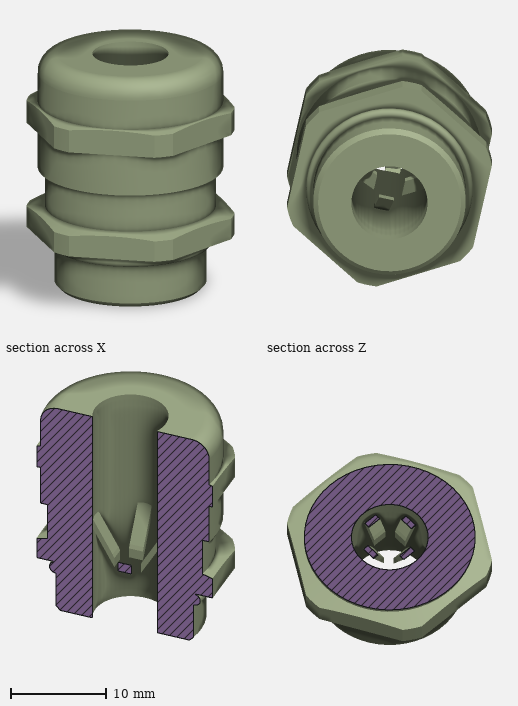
import cadquery as cq
import math

TOTAL_HEIGHT = 25.5
SEAL_RING_BOTTOM = 4.6
BODY_HEX_BOTTOM = 6.0
CAP_BOTTOM = 13.0
CAP_HEX_BOTTOM = 17.5

SPIGOT_RADIUS = 8.0
SPIGOT_CHAMFER_HEIGHT = 0.5
SPIGOT_CHAMFER_WIDTH = 0.5
SEAL_RING_RADIUS = 8.75
BODY_RADIUS = 9.0
CAP_RADIUS = 9.75
CAP_FILLET = 2.0
BORE_RADIUS = 4.0

HEX_SIDES = 6
ACROSS_FLATS = 20.0
COLLAR_CORNER_RADIUS = 11.0
BODY_COLLAR_EDGE_HEIGHT = 2.25
CAP_COLLAR_EDGE_HEIGHT = 2.44
COLLAR_CONE_ANGLE = 15.0

FINGER_COUNT = 4
FINGER_WIDTH = 1.6
FINGER_TIP_RADIUS = 1.5
FINGER_ROOT_TOP = 12.0
FINGER_SLOPE = 60.0
FINGER_THICKNESS = 0.6
FINGER_TIP_STRIP = 0.2
FINGER_STRIP_SLOPE = 65.0
FINGER_WALL_OVERLAP = 1.0


def cylinder(radius, bottom, top):
    return cq.Workplane("XY").workplane(offset=bottom).circle(radius).extrude(top - bottom)


def spigot_with_seal_ring():
    """Chamfered entry spigot with a round-section seal ring under the body collar."""
    ring_section_radius = (BODY_HEX_BOTTOM - SEAL_RING_BOTTOM) / 2
    ring_centre_radius = SEAL_RING_RADIUS - ring_section_radius
    ring_middle = SEAL_RING_BOTTOM + ring_section_radius
    profile = (
        cq.Workplane("XZ")
        .lineTo(SPIGOT_RADIUS - SPIGOT_CHAMFER_WIDTH, 0)
        .lineTo(SPIGOT_RADIUS, SPIGOT_CHAMFER_HEIGHT)
        .lineTo(SPIGOT_RADIUS, SEAL_RING_BOTTOM)
        .lineTo(ring_centre_radius, SEAL_RING_BOTTOM)
        .threePointArc((SEAL_RING_RADIUS, ring_middle), (ring_centre_radius, BODY_HEX_BOTTOM))
        .lineTo(0, BODY_HEX_BOTTOM)
        .close()
    )
    return profile.revolve(360, (0, 0, 0), (0, 1, 0))


def hex_collar(bottom, edge_height, barrel_radius):
    """Wrench collar whose top cone rises from the rounded corners to the barrel."""
    rise = (COLLAR_CORNER_RADIUS - barrel_radius) * math.tan(math.radians(COLLAR_CONE_ANGLE))
    edge_level = bottom + edge_height
    envelope = (
        cq.Workplane("XZ")
        .moveTo(0, bottom)
        .lineTo(COLLAR_CORNER_RADIUS, bottom)
        .lineTo(COLLAR_CORNER_RADIUS, edge_level)
        .lineTo(barrel_radius, edge_level + rise)
        .lineTo(0, edge_level + rise)
        .close()
        .revolve(360, (0, 0, 0), (0, 1, 0))
    )
    across_corners = ACROSS_FLATS / math.cos(math.pi / HEX_SIDES)
    prism = (
        cq.Workplane("XY")
        .workplane(offset=bottom)
        .polygon(HEX_SIDES, across_corners)
        .extrude(edge_height + rise)
    )
    return prism.intersect(envelope)


def cap():
    return cylinder(CAP_RADIUS, CAP_BOTTOM, TOTAL_HEIGHT).faces(">Z").edges().fillet(CAP_FILLET)


def contact_finger(angle):
    """Sloping finger on the +X side, with a steeper strip at its tip, turned about the axis."""
    slope = math.tan(math.radians(FINGER_SLOPE))
    root_radius = BORE_RADIUS + FINGER_WALL_OVERLAP
    strip_radius = FINGER_TIP_RADIUS + FINGER_TIP_STRIP
    root_level = FINGER_ROOT_TOP + FINGER_WALL_OVERLAP * slope
    strip_level = root_level - (root_radius - strip_radius) * slope
    tip_level = strip_level - FINGER_TIP_STRIP * math.tan(math.radians(FINGER_STRIP_SLOPE))
    underside_drop = FINGER_THICKNESS / math.cos(math.radians(FINGER_SLOPE))
    underside_tip_level = strip_level - FINGER_TIP_STRIP * slope - underside_drop
    finger = (
        cq.Workplane("XZ")
        .moveTo(root_radius, root_level)
        .lineTo(strip_radius, strip_level)
        .lineTo(FINGER_TIP_RADIUS, tip_level)
        .lineTo(FINGER_TIP_RADIUS, underside_tip_level)
        .lineTo(root_radius, root_level - underside_drop)
        .close()
        .extrude(FINGER_WIDTH / 2, both=True)
    )
    return finger.rotate((0, 0, 0), (0, 0, 1), angle)


result = (
    spigot_with_seal_ring()
    .union(cylinder(BODY_RADIUS, BODY_HEX_BOTTOM, CAP_BOTTOM))
    .union(hex_collar(BODY_HEX_BOTTOM, BODY_COLLAR_EDGE_HEIGHT, BODY_RADIUS))
    .union(cap())
    .union(hex_collar(CAP_HEX_BOTTOM, CAP_COLLAR_EDGE_HEIGHT, CAP_RADIUS))
    .cut(cylinder(BORE_RADIUS, 0, TOTAL_HEIGHT))
)
for index in range(FINGER_COUNT):
    result = result.union(contact_finger(index * 360 / FINGER_COUNT))